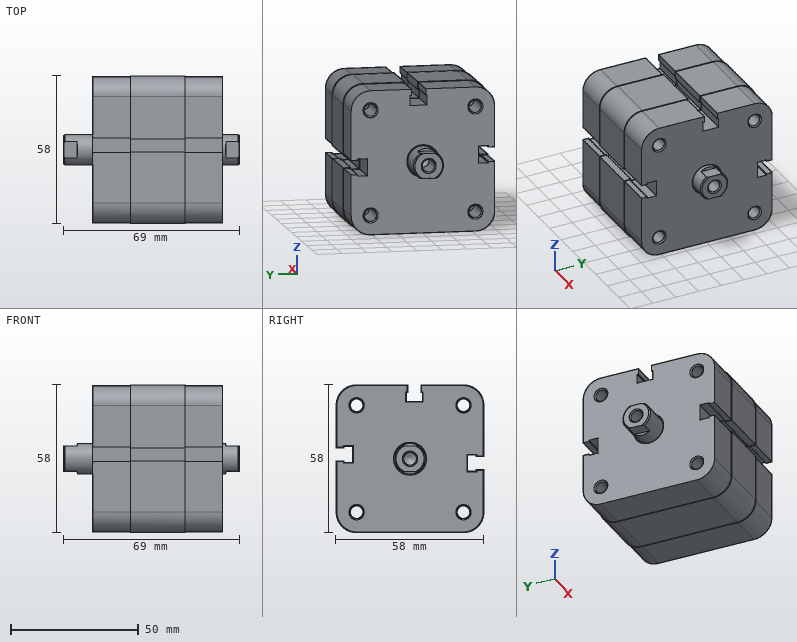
import cadquery as cq

total_length = 69.0
cap_length = 14.85
barrel_length = 21.4
rod_reach_left = 11.4

barrel_size = 58.0
cap_inset = 0.3
screw_offset = 21.0

screw_diameter = 5.0
screw_chamfer = 0.52

slot_shift = 1.7
slot_floor = 22.55
slot_lip = 25.95
slot_mouth_width = 5.2
slot_inner_width = 6.3

rod_diameter = 12.0
rod_chamfer = 0.5
flat_thickness = 10.0
flat_length = 5.2
shoulder_run = 0.3
thread_diameter = 5.05
thread_chamfer = 0.5
thread_depth = 11.7
drill_tip_depth = 1.45

bore_chamfer = 0.5

rod_start = -total_length / 2
left_face = rod_start + rod_reach_left
barrel_start = left_face + cap_length
barrel_end = barrel_start + barrel_length
right_face = barrel_end + cap_length
rod_radius = rod_diameter / 2


def x_cylinder(diameter, start, length):
    """Cylinder around the X axis."""
    return cq.Workplane("YZ", origin=(start, 0, 0)).circle(diameter / 2).extrude(length)


def sensor_slot(inset, start, length):
    """Stepped slot in the top side, running along X, its walls set back by inset."""
    half_mouth = slot_mouth_width / 2 + inset
    half_inner = slot_inner_width / 2 + inset
    floor = slot_floor - inset
    lip = slot_lip + inset
    top = barrel_size / 2
    return (
        cq.Workplane("YZ", origin=(start, slot_shift, 0))
        .moveTo(-half_mouth, top)
        .lineTo(-half_mouth, lip)
        .lineTo(-half_inner, lip)
        .lineTo(-half_inner, floor)
        .lineTo(half_inner, floor)
        .lineTo(half_inner, lip)
        .lineTo(half_mouth, lip)
        .lineTo(half_mouth, top)
        .close()
        .extrude(length)
    )


def housing_section(inset, start, length):
    """Rounded square block with sensor slots, screw holes and the rod bore."""
    size = barrel_size - 2 * inset
    section_plane = cq.Workplane("YZ", origin=(start, 0, 0))
    block = section_plane.rect(size, size).extrude(length)
    block = block.edges("|X").fillet(size / 2 - screw_offset)

    slot = sensor_slot(inset, start, length)
    for angle in (-90, 0, 90):
        block = block.cut(slot.rotate((0, 0, 0), (1, 0, 0), angle))

    screw_holes = (
        section_plane.rect(2 * screw_offset, 2 * screw_offset, forConstruction=True)
        .vertices()
        .circle(screw_diameter / 2)
        .extrude(length)
    )
    return block.cut(screw_holes).cut(x_cylinder(rod_diameter, start, length))


def make_barrel():
    """Middle section, flush with the full outline."""
    return housing_section(0, barrel_start, barrel_length)


def countersink(center, diameter, chamfer, face, inward):
    """Cone that chamfers a hole mouth on the cap face at X = face; inward is the X sense into the cap."""
    mouth_radius = diameter / 2 + chamfer
    tip = cq.Solid.makeCone(
        mouth_radius, 0, mouth_radius, cq.Vector(face, *center), cq.Vector(inward, 0, 0)
    )
    return cq.Workplane(tip)


def make_end_cap(start, outer_face, inward):
    """End cap with its hole mouths chamfered on the outer face."""
    cap = housing_section(cap_inset, start, cap_length)
    for y in (-screw_offset, screw_offset):
        for z in (-screw_offset, screw_offset):
            cap = cap.cut(countersink((y, z), screw_diameter, screw_chamfer, outer_face, inward))
    return cap.cut(countersink((0, 0), rod_diameter, bore_chamfer, outer_face, inward))


def wrench_flat_cutter(side):
    """Removes one flat at the left rod end; side is +1 for the top, -1 for the bottom."""
    flat_height = flat_thickness / 2
    flat_end = rod_start + flat_length
    slope = shoulder_run / (rod_radius - flat_height)
    clear_height = rod_diameter
    clear_end = flat_end + slope * (clear_height - flat_height)
    return (
        cq.Workplane("XZ")
        .moveTo(rod_start, side * flat_height)
        .lineTo(flat_end, side * flat_height)
        .lineTo(clear_end, side * clear_height)
        .lineTo(rod_start, side * clear_height)
        .close()
        .extrude(rod_radius, both=True)
    )


def threaded_hole_cutter():
    """Drilled hole with chamfered mouth and conical tip in the left rod end."""
    hole_radius = thread_diameter / 2
    return (
        cq.Workplane("XZ")
        .moveTo(rod_start, 0)
        .lineTo(rod_start, hole_radius + thread_chamfer)
        .lineTo(rod_start + thread_chamfer, hole_radius)
        .lineTo(rod_start + thread_depth, hole_radius)
        .lineTo(rod_start + thread_depth + drill_tip_depth, 0)
        .close()
        .revolve(360, (0, 0, 0), (1, 0, 0))
    )


def make_piston_rod():
    """Through rod, both ends machined alike."""
    rod = x_cylinder(rod_diameter, rod_start, total_length)
    rod = rod.faces("<X or >X").chamfer(rod_chamfer)
    for cutter in (wrench_flat_cutter(1), wrench_flat_cutter(-1), threaded_hole_cutter()):
        rod = rod.cut(cutter).cut(cutter.mirror("YZ"))
    return rod


barrel = make_barrel()
left_cap = make_end_cap(left_face, left_face, 1)
right_cap = make_end_cap(barrel_end, right_face, -1)
piston_rod = make_piston_rod()

result = cq.Compound.makeCompound([barrel.val(), left_cap.val(), right_cap.val(), piston_rod.val()])